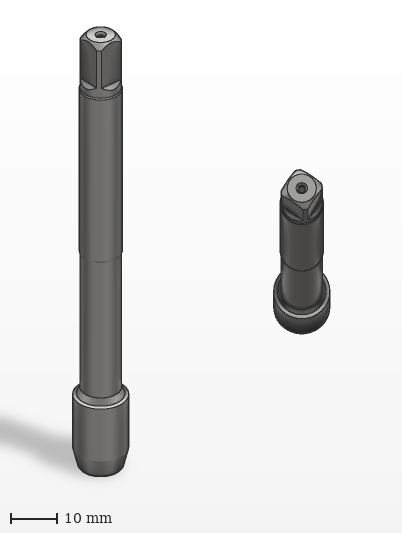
import cadquery as cq

total_length = 110.0

head_diameter = 12.1
tip_diameter = 10.0
nose_diameter = 9.4
nose_height = 0.4
lead_height = 4.7
head_body_top = 18.2
head_top = 18.4
head_top_diameter = 10.5

neck_diameter = 9.0
neck_bottom = 20.0
shank_diameter = 9.4
shank_bottom = 55.0
shank_bottom_taper = 0.5
shank_top = 96.2
shank_top_taper = 0.3

drive_diameter = 8.9
drive_width = 7.0
drive_bottom = 99.1
drive_chamfer = 1.3

centre_diameter = 1.6
centre_mouth_diameter = 2.4
centre_mouth_depth = 0.7
centre_depth = 2.2


def turned(profile):
    """Revolve (diameter, height) steps, listed from bottom to top, about Z."""
    outline = [(diameter / 2, height) for diameter, height in profile]
    bottom = profile[0][1]
    top = profile[-1][1]
    return (
        cq.Workplane("XZ")
        .polyline([(0, bottom), *outline, (0, top)])
        .close()
        .revolve(360, (0, 0), (0, 1))
    )


def make_head():
    """Cutting head with a tapered lead and a bevelled top edge."""
    return turned([
        (nose_diameter, 0),
        (tip_diameter, nose_height),
        (head_diameter, lead_height),
        (head_diameter, head_body_top),
        (head_top_diameter, head_top),
    ])


def flat_cutter():
    """Material beside one drive flat, ending in a 45 degree ramp at its foot."""
    inner = drive_width / 2
    reach = drive_diameter
    ramp = reach - inner
    return (
        cq.Workplane("XZ")
        .polyline([
            (inner, drive_bottom),
            (reach, drive_bottom - ramp),
            (reach, total_length),
            (inner, total_length),
        ])
        .close()
        .extrude(drive_diameter, both=True)
    )


def drive_limit():
    """Wide disc above the shank top, which keeps the ramps clear of the shank."""
    return (
        cq.Workplane("XY")
        .workplane(offset=shank_top)
        .circle(drive_diameter)
        .extrude(total_length - shank_top)
    )


def centre_hole():
    """Centre hole with a tapered mouth."""
    return turned([
        (centre_diameter, total_length - centre_depth),
        (centre_diameter, total_length - centre_mouth_depth),
        (centre_mouth_diameter, total_length),
    ])


def make_shank():
    """Flared neck, cylindrical shank and square drive with a centre hole."""
    shank = turned([
        (head_top_diameter, head_top),
        (neck_diameter, neck_bottom),
        (neck_diameter, shank_bottom - shank_bottom_taper),
        (shank_diameter, shank_bottom),
        (shank_diameter, shank_top),
        (drive_diameter, shank_top + shank_top_taper),
        (drive_diameter, total_length - drive_chamfer),
        (drive_diameter - 2 * drive_chamfer, total_length),
    ])
    cutter = flat_cutter().intersect(drive_limit())
    for angle in (0, 90, 180, 270):
        shank = shank.cut(cutter.rotate((0, 0, 0), (0, 0, 1), angle))
    return shank.cut(centre_hole())


head = make_head()
shank = make_shank()

result = cq.Compound.makeCompound([head.val(), shank.val()])